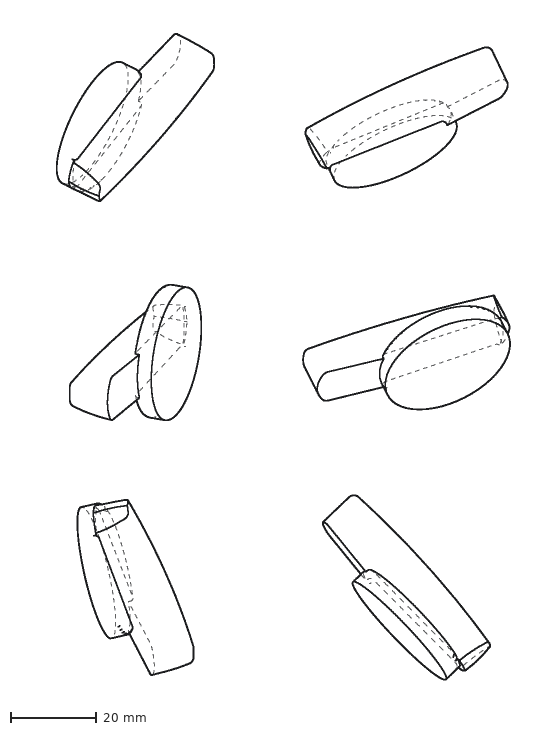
import cadquery as cq

disk_radius = 15.8
disk_thickness = 4.8
disk_rim_fillet = 1.02

rear_y = 31.0
front_y = rear_y - 48.8
crown_x = 15.45
crown_y = 16.6
crown_radius = 214.7

root_x = 2.95
waist_x = 9.15
root_half_width = 5.85
waist_half_width = 4.95
top_half_width = 2.65
front_narrowing = 0.7
end_allowance = 1.45

front_underside_x = 4.45
rear_underside_x = 3.5
rear_tip_underside_x = 5.0

rear_end_radius = 9.25
grip_fillet = 1.55
nose_shoulder_y = -16.6
nose_shoulder_half_width = 3.35
nose_back_y = -13.9
nose_back_half_width = 6.85
nose_mid_x = 8.3
nose_setback = 0.9
trim_size = 146.4


def make_disk():
    disk = cq.Workplane("YZ").circle(disk_radius).extrude(disk_thickness)
    return disk.faces(">X").edges().fillet(disk_rim_fillet)


def flank_section(y, narrowing):
    """Closed cross-section of the bar with arched flanks, in the plane at y."""
    root = root_half_width - narrowing
    waist = waist_half_width - narrowing
    top = top_half_width - narrowing
    return (
        cq.Workplane("XZ", origin=(0, y, 0))
        .moveTo(root_x, -root)
        .threePointArc((waist_x, -waist), (crown_x, -top))
        .lineTo(crown_x, top)
        .threePointArc((waist_x, waist), (root_x, root))
        .close()
        .wire()
        .val()
    )


def make_flanks():
    rear = flank_section(rear_y + end_allowance, 0)
    front = flank_section(front_y - end_allowance, front_narrowing)
    return cq.Workplane(cq.Solid.makeLoft([rear, front], True))


def make_crown():
    crown = cq.Workplane("XY").center(crown_x - crown_radius, crown_y).circle(crown_radius)
    return crown.extrude(trim_size / 2, both=True)


def make_rear_end():
    """Body ending in a cylinder about an axis parallel to X."""
    centre_y = rear_y - rear_end_radius
    return (
        cq.Workplane("YZ")
        .moveTo(centre_y - trim_size, -rear_end_radius)
        .lineTo(centre_y, -rear_end_radius)
        .threePointArc((rear_y, 0), (centre_y, rear_end_radius))
        .lineTo(centre_y - trim_size, rear_end_radius)
        .close()
        .extrude(trim_size)
    )


def nose_outline(x, ridge_y):
    """Pointed outline of the nose in the plane at x."""
    return (
        cq.Workplane("YZ", origin=(x, 0, 0))
        .moveTo(ridge_y, 0)
        .threePointArc(
            (nose_shoulder_y, nose_shoulder_half_width), (nose_back_y, nose_back_half_width)
        )
        .lineTo(trim_size, nose_back_half_width)
        .lineTo(trim_size, -nose_back_half_width)
        .lineTo(nose_back_y, -nose_back_half_width)
        .threePointArc((nose_shoulder_y, -nose_shoulder_half_width), (ridge_y, 0))
        .close()
        .wire()
        .val()
    )


def make_nose():
    """Body with a ridged nose that falls back towards the crown and the root."""
    root_setback = nose_setback * ((nose_mid_x - root_x) / (crown_x - nose_mid_x)) ** 2
    outlines = [
        nose_outline(root_x, front_y + root_setback),
        nose_outline(nose_mid_x, front_y),
        nose_outline(crown_x, front_y + nose_setback),
    ]
    return cq.Workplane(cq.Solid.makeLoft(outlines, False))


def make_underside():
    """Material to remove below both overhangs, outside the disk."""
    slope = (rear_tip_underside_x - rear_underside_x) / (rear_y - disk_radius)
    far_x = rear_tip_underside_x + slope * end_allowance
    far_y = rear_y + end_allowance
    below = (
        cq.Workplane("XY")
        .moveTo(0, front_y - end_allowance)
        .lineTo(front_underside_x, front_y - end_allowance)
        .lineTo(front_underside_x, 0)
        .lineTo(rear_underside_x - slope * disk_radius, 0)
        .lineTo(far_x, far_y)
        .lineTo(0, far_y)
        .close()
        .extrude(disk_radius, both=True)
    )
    return below.cut(cq.Workplane("YZ").circle(disk_radius).extrude(trim_size))


def make_grip():
    grip = make_flanks().intersect(make_crown()).intersect(make_rear_end())
    bar_box = grip.val().BoundingBox()
    rear_and_crown = cq.selectors.BoxSelector(
        (root_x + grip_fillet, front_y, bar_box.zmin),
        (bar_box.xmax, bar_box.ymax, bar_box.zmax),
    )
    grip = grip.edges(rear_and_crown).fillet(grip_fillet)
    return grip.intersect(make_nose()).cut(make_underside())


result = make_disk().union(make_grip())